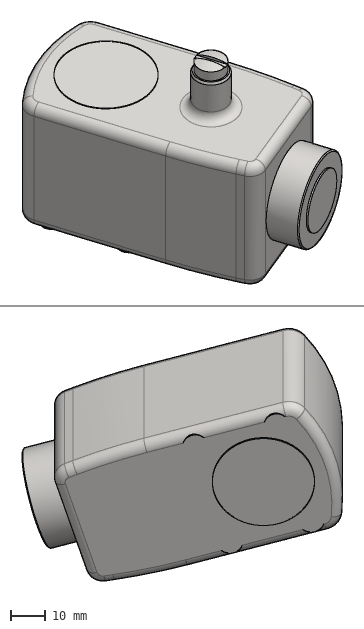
import cadquery as cq
import math

overall_length = 92.0
overall_width = 45.0
overall_height = 65.1

housing_length = 81.0
housing_height = 46.1
bow_radius = 50.0
bow_corner_radius = 6.0
taper_start_x = 51.8
taper_end_x = 74.0
taper_radius = 184.0
end_corner_radius = 5.0
edge_fillet = 3.1

pad_x = 22.0
top_pad_diameter = 30.5
top_pad_height = 0.3
base_pad_diameter = 30.0
base_pad_height = 0.55

boss_diameter = 7.4
boss_reach = 21.2
boss_height = 2.8
boss_xs = (12.6, 37.5)

spigot_diameter = 30.5
spigot_chamfer = 0.4
spigot_face_diameter = 20.0
spigot_face_height = 0.55

pin_x = 55.9
pin_diameter = 12.0
pin_root_fillet = 3.1
pin_shoulder_height = 14.3
pin_shoulder_chamfer_drop = 0.8
pin_shoulder_chamfer_inset = 0.5
pin_head_diameter = 10.0
pin_dome_rise = 0.8
pin_embed_depth = 2.8
slot_width = 1.7
slot_depth = 1.0

half_width = overall_width / 2
pin_height = overall_height - base_pad_height - housing_height


def point_on_circle(center, radius, angle):
    return (center[0] + radius * math.cos(angle), center[1] + radius * math.sin(angle))


def mirrored(point):
    return (point[0], -point[1])


def housing_outline():
    """Closed plan outline, symmetric about the X axis, with every arc tangent to its neighbours."""
    bow_center = (bow_radius, 0.0)
    bow_corner_y = half_width - bow_corner_radius
    center_distance = bow_radius - bow_corner_radius
    bow_corner = (bow_radius - math.sqrt(center_distance**2 - bow_corner_y**2), bow_corner_y)
    bow_angle = math.pi - math.asin(bow_corner_y / center_distance)
    bow_end = point_on_circle(bow_center, bow_radius, bow_angle)
    bow_corner_mid = point_on_circle(bow_corner, bow_corner_radius, (bow_angle + math.pi / 2) / 2)
    side_start = (bow_corner[0], half_width)

    taper_center = (taper_start_x, half_width - taper_radius)
    slope_angle = math.asin((taper_end_x - taper_start_x) / taper_radius)
    normal_angle = math.pi / 2 - slope_angle
    taper_mid = point_on_circle(taper_center, taper_radius, math.pi / 2 - slope_angle / 2)
    taper_end = point_on_circle(taper_center, taper_radius, normal_angle)

    run_end_x = housing_length - end_corner_radius * (1 - math.sin(slope_angle))
    run_end = (run_end_x, taper_end[1] - (run_end_x - taper_end_x) * math.tan(slope_angle))
    end_corner = (
        housing_length - end_corner_radius,
        run_end[1] - end_corner_radius * math.cos(slope_angle),
    )
    end_corner_mid = point_on_circle(end_corner, end_corner_radius, normal_angle / 2)
    end_top = (housing_length, end_corner[1])

    return (
        cq.Workplane("XY")
        .moveTo(*mirrored(bow_end))
        .threePointArc((0, 0), bow_end)
        .threePointArc(bow_corner_mid, side_start)
        .lineTo(taper_start_x, half_width)
        .threePointArc(taper_mid, taper_end)
        .lineTo(*run_end)
        .threePointArc(end_corner_mid, end_top)
        .lineTo(*mirrored(end_top))
        .threePointArc(mirrored(end_corner_mid), mirrored(run_end))
        .lineTo(*mirrored(taper_end))
        .threePointArc(mirrored(taper_mid), (taper_start_x, -half_width))
        .lineTo(*mirrored(side_start))
        .threePointArc(mirrored(bow_corner_mid), mirrored(bow_end))
        .close()
    )


def make_housing():
    return housing_outline().extrude(housing_height).faces("|Z").edges().fillet(edge_fillet)


def upright_cylinder(x, y, bottom_z, diameter, height):
    return cq.Workplane("XY", origin=(x, y, bottom_z)).circle(diameter / 2).extrude(height)


def make_spigot():
    spigot_length = overall_length - spigot_face_height - housing_length
    return (
        cq.Workplane("YZ", origin=(housing_length, 0, housing_height / 2))
        .circle(spigot_diameter / 2)
        .extrude(spigot_length)
        .faces(">X")
        .chamfer(spigot_chamfer)
        .faces(">X")
        .workplane()
        .circle(spigot_face_diameter / 2)
        .extrude(spigot_face_height)
    )


def make_pin():
    """Turned pin with a flared root, a chamfered shoulder and a domed, slotted head."""
    radius = pin_diameter / 2
    head_radius = pin_head_diameter / 2
    root_radius = radius + pin_root_fillet
    flare_offset = pin_root_fillet * (1 - math.sqrt(0.5))
    dome_radius = (head_radius**2 + pin_dome_rise**2) / (2 * pin_dome_rise)
    dome_mid_angle = math.pi / 2 - math.asin(head_radius / dome_radius) / 2
    dome_mid = point_on_circle((0, pin_height - dome_radius), dome_radius, dome_mid_angle)

    pin = (
        cq.Workplane("XZ", origin=(pin_x, 0, housing_height))
        .moveTo(0, -pin_embed_depth)
        .lineTo(root_radius, -pin_embed_depth)
        .lineTo(root_radius, 0)
        .threePointArc((radius + flare_offset, flare_offset), (radius, pin_root_fillet))
        .lineTo(radius, pin_shoulder_height - pin_shoulder_chamfer_drop)
        .lineTo(radius - pin_shoulder_chamfer_inset, pin_shoulder_height)
        .lineTo(head_radius, pin_shoulder_height)
        .lineTo(head_radius, pin_height - pin_dome_rise)
        .threePointArc(dome_mid, (0, pin_height))
        .close()
        .revolve(360, (0, 0, 0), (0, 1, 0))
    )
    slot = (
        cq.Workplane("XY", origin=(pin_x, 0, housing_height + pin_height - slot_depth))
        .rect(pin_diameter, slot_width)
        .extrude(2 * slot_depth)
    )
    return pin.cut(slot)


result = make_housing()
result = result.union(upright_cylinder(pad_x, 0, housing_height, top_pad_diameter, top_pad_height))
result = result.union(upright_cylinder(pad_x, 0, -base_pad_height, base_pad_diameter, base_pad_height))

boss_y = boss_reach - boss_diameter / 2
for boss_x in boss_xs:
    for side in (-1, 1):
        result = result.union(upright_cylinder(boss_x, side * boss_y, 0, boss_diameter, boss_height))

result = result.union(make_spigot())
result = result.union(make_pin())